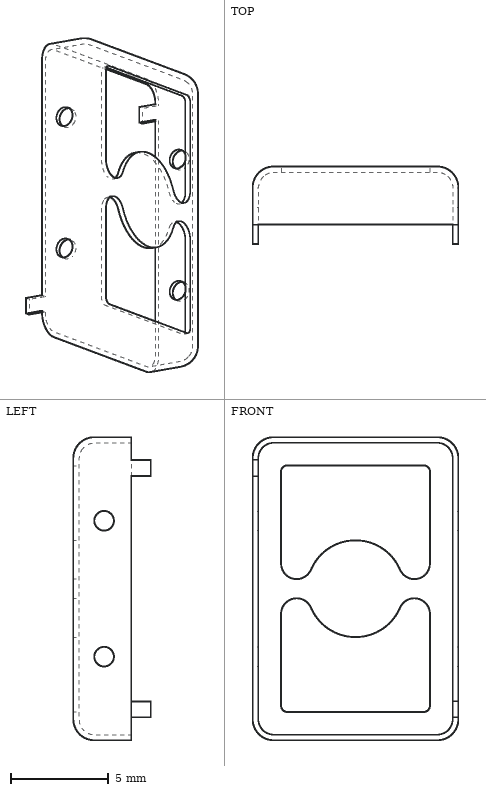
import cadquery as cq
import math

width = 10.6
height = 15.6
total_depth = 4.0
tab_length = 1.0
wall = 0.3
corner_radius = 1.09

window_half_width = 3.82
window_half_height = 6.33
window_corner_radius = 0.31
disc_radius = 2.5
lobe_radius = 0.8

tab_height = 0.83
tab_center_z = 6.21
hole_diameter = 1.0
hole_center_z = 3.5
hole_to_back = 1.59

back_y = total_depth / 2
rim_y = -back_y + tab_length
tray_depth = back_y - rim_y


def rounded_block(inset):
    """Block inset from the outer faces, with rounded corners and back edges."""
    radius = corner_radius - inset
    depth = tray_depth - inset
    return (
        cq.Workplane("XY")
        .box(width - 2 * inset, depth, height - 2 * inset)
        .translate((0, rim_y + depth / 2, 0))
        .edges("|Y")
        .fillet(radius)
        .faces(">Y")
        .edges()
        .fillet(radius)
    )


def upper_window():
    """Cutter whose lower lobes are tangent to its sides and to the disc."""
    lobe_x = window_half_width - lobe_radius
    center_distance = disc_radius + lobe_radius
    lobe_z = math.sqrt(center_distance**2 - lobe_x**2)
    tangent_x = lobe_x * disc_radius / center_distance
    tangent_z = lobe_z * disc_radius / center_distance

    disc_angle = math.atan2(-lobe_z, -lobe_x) + 2 * math.pi
    middle_angle = disc_angle / 2 + math.pi
    middle_x = lobe_x + lobe_radius * math.cos(middle_angle)
    middle_z = lobe_z + lobe_radius * math.sin(middle_angle)

    return (
        cq.Workplane("XZ", origin=(0, back_y, 0))
        .moveTo(-window_half_width, window_half_height)
        .lineTo(-window_half_width, lobe_z)
        .threePointArc((-middle_x, middle_z), (-tangent_x, tangent_z))
        .threePointArc((0, disc_radius), (tangent_x, tangent_z))
        .threePointArc((middle_x, middle_z), (window_half_width, lobe_z))
        .lineTo(window_half_width, window_half_height)
        .close()
        .extrude(wall)
        .edges(">Z and |Y")
        .fillet(window_corner_radius)
    )


def side_holes():
    """Two cross holes, each passing through both side walls."""
    return (
        cq.Workplane("YZ", origin=(-width / 2, 0, 0))
        .pushPoints([(back_y - hole_to_back, z) for z in (-hole_center_z, hole_center_z)])
        .circle(hole_diameter / 2)
        .extrude(width)
    )


def tab(side):
    """Tab continuing a side wall past the rim: high at -X, low at +X."""
    return (
        cq.Workplane("XY")
        .box(wall, tab_length + wall, tab_height)
        .translate((
            side * (width - wall) / 2,
            rim_y + (wall - tab_length) / 2,
            -side * tab_center_z,
        ))
    )


result = rounded_block(0).cut(rounded_block(wall))

window = upper_window()
result = result.cut(window).cut(window.mirror("XY"))

result = result.cut(side_holes())

for side in (-1, 1):
    result = result.union(tab(side))